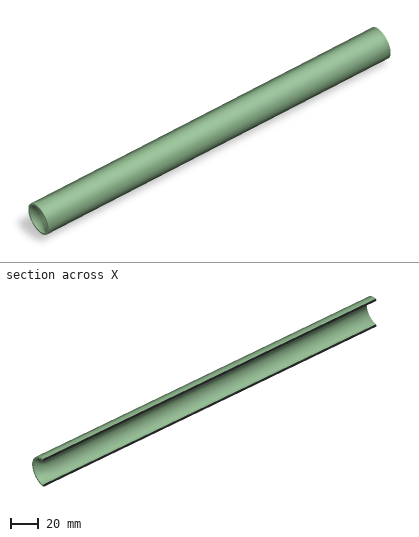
import cadquery as cq

length = 304.8
outer_diameter = 25.3
wall_thickness = 1.5

inner_diameter = outer_diameter - 2 * wall_thickness

result = (
    cq.Workplane("XZ", origin=(0, length / 2, 0))
    .circle(outer_diameter / 2)
    .circle(inner_diameter / 2)
    .extrude(length)
)